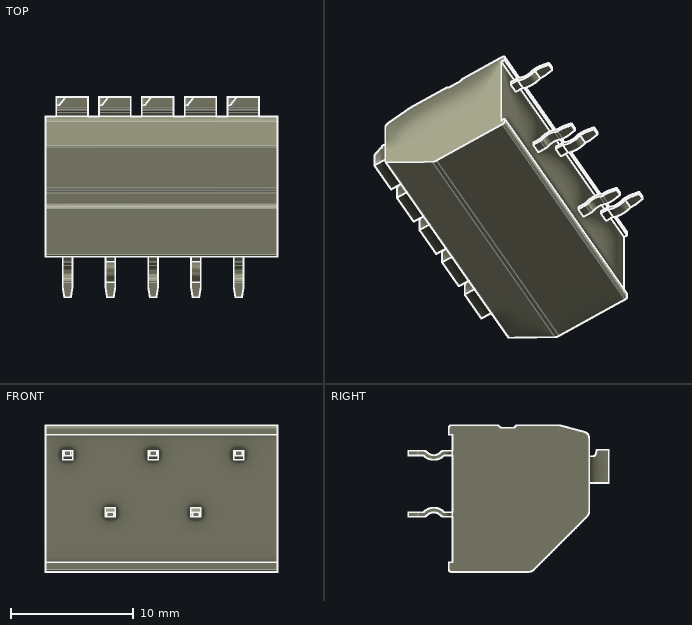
import cadquery as cq
import math


body_width = 19.0
body_depth = 11.5
body_height = 12.0
lip_depth = 0.3
lip_height = 0.8
lip_fillet = 0.23
undercut_height = 4.71
undercut_fillet = 0.57
slope_length = 2.43
slope_angle = math.radians(15)
slope_fillet = 0.53

groove_floor_front = 4.25
groove_floor_back = 5.34
groove_depth = 0.2
groove_fillet = 0.2

pole_count = 5
pole_pitch = 3.5

lever_left = 0.9
lever_width = 2.6
lever_length = 1.6
lever_bottom = 7.25
lever_top = 10.01
lever_shelf_drop = 0.53
lever_tip_top = 0.99
lever_tip_foot = 1.12
lever_tip_fillet = 0.1
lever_shelf_fillet = 0.19
lever_embed = 0.19
notch_back_width = 0.78
notch_front_width = 0.25
notch_length = 0.7
notch_drop = 0.9

first_pin_x = 1.82
pin_width = 0.82
pin_thickness = 0.4
pin_tip_y = -3.3
pin_tip_width = 0.55
pin_taper_y = -2.5
pin_bottom_high = 9.52
pin_bottom_low = 4.5
bend_y = -1.22
bend_half_span = 0.84
bend_depth = 0.36


def make_body():
    """Housing profile in YZ extruded over the full width."""
    slope_drop = slope_length * math.tan(slope_angle)
    undercut_corner = (body_depth, undercut_height)
    undercut_foot = (body_depth - undercut_height, 0)
    slope_corner = (body_depth, body_height - slope_drop)
    slope_start = (body_depth - slope_length, body_height)
    groove_rims = [
        (groove_floor_back + groove_depth, body_height),
        (groove_floor_front - groove_depth, body_height),
    ]
    groove_feet = [
        (groove_floor_back, body_height - groove_depth),
        (groove_floor_front, body_height - groove_depth),
    ]
    lip_corners = [(0, 0), (0, body_height)]
    outline = [
        lip_corners[0], undercut_foot, undercut_corner, slope_corner, slope_start,
        groove_rims[0], groove_feet[0], groove_feet[1], groove_rims[1],
        lip_corners[1],
        (0, body_height - lip_height), (lip_depth, body_height - lip_height),
        (lip_depth, lip_height), (0, lip_height),
    ]
    body = cq.Workplane("YZ").polyline(outline).close().extrude(body_width)
    rounded = [
        (lip_corners, lip_fillet),
        ([undercut_foot, undercut_corner], undercut_fillet),
        ([slope_corner, slope_start], slope_fillet),
        (groove_rims + groove_feet, groove_fillet),
    ]
    for corners, radius in rounded:
        body = fillet_corners(body, corners, radius)
    return body


def fillet_corners(solid, corners, radius):
    """Round the X-parallel edges that pass through the given (y, z) corners."""
    middle = solid.val().BoundingBox().center.x
    for y, z in corners:
        solid = solid.edges(cq.selectors.NearestToPointSelector((middle, y, z))).fillet(radius)
    return solid


def make_lever(left):
    """Stepped lever with a notched upper left back corner."""
    back = body_depth + lever_length
    front = body_depth - lever_embed
    shelf_z = lever_top - lever_shelf_drop
    tip_corner = (back - lever_tip_top, lever_top)
    shelf_corner = (back - lever_tip_foot, shelf_z)
    outline = [
        (front, lever_bottom), (back, lever_bottom), (back, lever_top),
        tip_corner, shelf_corner, (front, shelf_z),
    ]
    lever = cq.Workplane("YZ").workplane(offset=left).polyline(outline).close().extrude(lever_width)
    lever = fillet_corners(lever, [tip_corner], lever_tip_fillet)
    lever = fillet_corners(lever, [shelf_corner], lever_shelf_fillet)
    return lever.cut(make_notch(left, back))


def make_notch(left, back):
    """Corner cutter: upright walls around a floor that falls at 45 degrees to the back."""
    plan = [
        (left, back), (left + notch_back_width, back),
        (left + notch_front_width, back - notch_length), (left, back - notch_length),
    ]
    front_drop = notch_drop - notch_length
    section = [
        (back, lever_top), (back, lever_top - notch_drop),
        (back - notch_length, lever_top - front_drop), (back - notch_length, lever_top),
    ]
    column = cq.Workplane("XY").polyline(plan).close().extrude(lever_top)
    wedge = cq.Workplane("YZ").workplane(offset=left).polyline(section).close().extrude(notch_back_width)
    return column.intersect(wedge)


def make_pin(x, bottom, bends_down):
    """Flat pin with one round bend and a tapered tip."""
    outer_radius = (bend_half_span**2 + bend_depth**2) / (2 * bend_depth)
    bend_angle = math.asin(bend_half_span / outer_radius)
    inner_half_span = (outer_radius - pin_thickness) * math.sin(bend_angle)
    shoulder_z = pin_thickness * math.cos(bend_angle)
    half_shoulder_y = pin_thickness * math.sin(bend_angle / 2)
    half_shoulder_z = pin_thickness * math.cos(bend_angle / 2)
    near = bend_y + bend_half_span
    far = bend_y - bend_half_span
    profile = (
        cq.Workplane("YZ")
        .moveTo(lip_depth, 0)
        .lineTo(near, 0)
        .threePointArc((bend_y, -bend_depth), (far, 0))
        .lineTo(pin_tip_y, 0)
        .lineTo(pin_tip_y, pin_thickness)
        .lineTo(far, pin_thickness)
        .threePointArc((far + half_shoulder_y, half_shoulder_z), (bend_y - inner_half_span, shoulder_z))
        .threePointArc((bend_y, pin_thickness - bend_depth), (bend_y + inner_half_span, shoulder_z))
        .threePointArc((near - half_shoulder_y, half_shoulder_z), (near, pin_thickness))
        .lineTo(lip_depth, pin_thickness)
        .close()
    )
    strip = profile.extrude(pin_width / 2, both=True)
    half_width = pin_width / 2
    half_tip = pin_tip_width / 2
    plan = [
        (-half_width, lip_depth), (-half_width, pin_taper_y), (-half_tip, pin_tip_y),
        (half_tip, pin_tip_y), (half_width, pin_taper_y), (half_width, lip_depth),
    ]
    plan_height = pin_thickness + bend_depth
    pin = strip.intersect(cq.Workplane("XY").polyline(plan).close().extrude(plan_height, both=True))
    if not bends_down:
        pin = pin.mirror("XY", (0, 0, pin_thickness / 2))
    return pin.translate((x, 0, bottom))


result = make_body()
for pole in range(pole_count):
    shift = pole * pole_pitch
    in_high_row = pole % 2 == 0
    pin_bottom = pin_bottom_high if in_high_row else pin_bottom_low
    result = result.union(make_lever(lever_left + shift))
    result = result.union(make_pin(first_pin_x + shift, pin_bottom, in_high_row))